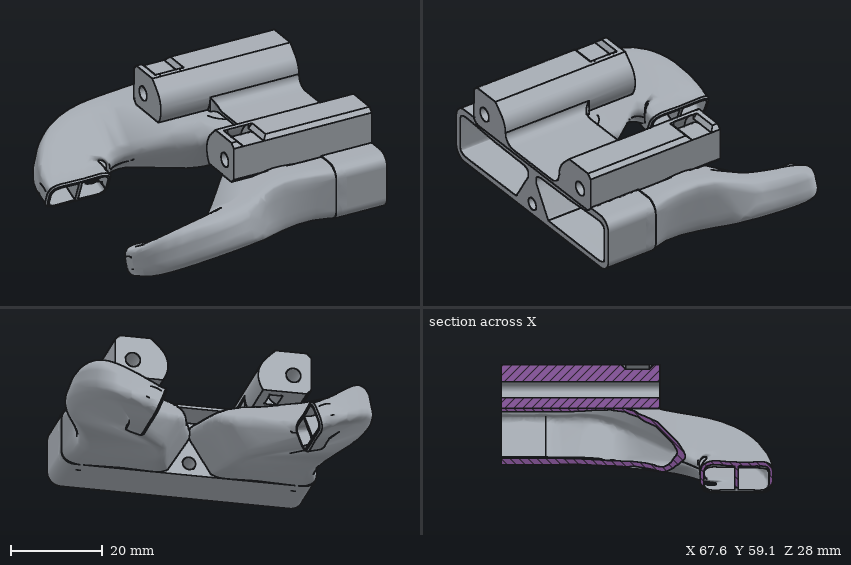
import cadquery as cq
import math


rail_length = 34.6
rail_height = 9.6
rail_outer_x = -22.0
rail_chamfer = 1.0
rail_flat_end_x = -13.9
rail_round_radius = 5.8
rail_round_x = -15.9
rail_round_z = 3.4
rod_hole_diameter = 3.3
rod_hole_x = -18.0
rod_hole_z = 4.1

tie_width = 5.1
tie_front_y = -32.2
tie_depth = 1.0
tie_end_x = -15.1
tie_inner_radius = rail_height - tie_depth - rod_hole_z
tie_outer_radius = math.hypot(tie_end_x - rod_hole_x, rail_height - rod_hole_z)

web_length = 20.8
web_thickness = 0.75
web_fillet = 2.8
web_flat_half_width = 7.3
web_corner_radius = 1.5

inlet_width = 57.4
inlet_depth = 12.7
inlet_top_z = 1.25
inlet_bottom_z = -12.3
inlet_corner_radius = 3.0
root_overlap = 3.0
root_inset = 0.1
screw_hole_diameter = 2.9
screw_hole_z = -9.5

mouth_top = (-15.9, -12.0)
mouth_bottom = (-18.4, -18.45)
mouth_inner_y = -43.3
mouth_outer_y = -59.14
mouth_corner_radius = 2.3
lip_chamfer = 0.4
inlet_wall = 1.5
mouth_wall = 0.8
divider_thickness = 0.8
divider_depth = 4.0
nozzle_length = 4.0

round_step = 1.0
side_steps = (7.0, 2.0)
side_hold = 0.2


def mirrored_pair(left):
    return left, left.mirror("YZ")


def rail_outline():
    diagonal = rail_round_radius * math.sqrt(0.5)
    foot_x = rail_round_x + math.sqrt(rail_round_radius**2 - rail_round_z**2)
    return (
        cq.Workplane("XZ")
        .moveTo(rail_outer_x + rail_chamfer, 0)
        .lineTo(rail_outer_x, rail_chamfer)
        .lineTo(rail_outer_x, rail_height - rail_chamfer)
        .lineTo(rail_outer_x + rail_chamfer, rail_height)
        .lineTo(rail_flat_end_x, rail_height)
        .lineTo(rail_round_x + diagonal, rail_round_z + diagonal)
        .threePointArc((rail_round_x + rail_round_radius, rail_round_z), (foot_x, 0))
        .close()
    )


def tie_slot():
    """Bevelled pocket in the rail top, continued by a channel curving round the rod hole."""
    floor_z = rail_height - tie_depth
    back_y = tie_front_y + tie_width
    pocket = (
        cq.Workplane("YZ", origin=(rail_outer_x, 0, 0))
        .polyline([
            (tie_front_y, floor_z),
            (back_y, floor_z),
            (back_y + tie_depth, rail_height),
            (tie_front_y - tie_depth, rail_height),
        ])
        .close()
        .extrude(tie_end_x - rail_outer_x)
    )
    ring = (
        cq.Workplane("XZ", origin=(rod_hole_x, back_y, rod_hole_z))
        .circle(tie_outer_radius)
        .circle(tie_inner_radius)
        .extrude(tie_width)
    )
    inner_half = cq.Workplane("XY").box(
        tie_outer_radius, rail_length, rail_height, centered=False
    ).translate((rod_hole_x, -rail_length, 0))
    return pocket.union(ring.intersect(inner_half))


def left_rail():
    rod_hole = (
        cq.Workplane("XZ", origin=(rod_hole_x, 0, rod_hole_z))
        .circle(rod_hole_diameter / 2)
        .extrude(rail_length)
    )
    return rail_outline().extrude(rail_length).cut(rod_hole).cut(tie_slot())


def web():
    """Thin plate with a concave fillet up to each rail and flared front corners."""
    fillet_z = web_thickness + web_fillet
    touch_x = -rail_round_x - rail_round_radius
    arc_middle = (
        web_flat_half_width + web_fillet * math.sqrt(0.5),
        fillet_z - web_fillet * math.sqrt(0.5),
    )
    full_length = web_length + web_corner_radius
    section = (
        cq.Workplane("XZ")
        .moveTo(0, 0)
        .lineTo(-rail_round_x, 0)
        .lineTo(-rail_round_x, fillet_z)
        .lineTo(web_flat_half_width + web_fillet, fillet_z)
        .threePointArc(arc_middle, (web_flat_half_width, web_thickness))
        .lineTo(0, web_thickness)
        .close()
        .extrude(full_length)
    )
    corner_x = touch_x - web_corner_radius
    plan = (
        cq.Workplane("XY")
        .lineTo(0, -web_length)
        .lineTo(corner_x, -web_length)
        .radiusArc((touch_x, -full_length), web_corner_radius)
        .lineTo(-rail_round_x, -full_length)
        .lineTo(-rail_round_x, 0)
        .close()
        .extrude(rail_height)
    )
    half = section.intersect(plan)
    return half.union(half.mirror("YZ"))


def build_mount():
    mount = web()
    for rail in mirrored_pair(left_rail()):
        mount = mount.union(rail)
    return mount


def arm_station(origin, across, up, corners, radius):
    """Plane, corners and corner radius of one cross-section of the left arm.

    Corners run inner top, outer top, outer bottom, inner bottom, each as
    (distance outward, height) in the plane.
    """
    normal = cq.Vector(*across).cross(cq.Vector(*up))
    plane = cq.Plane(origin=origin, xDir=across, normal=normal.toTuple())
    return plane, corners, radius


def crosswise(y, corners, radius):
    """Station across the Y direction, with corners as (x, z)."""
    outward = [(-x, z) for x, z in corners]
    return arm_station((0, y, 0), (-1, 0, 0), (0, 0, 1), outward, radius)


def arm_stations(end_setback):
    """Stations from the inlet block to the given distance short of the mouth."""
    side_x = -inlet_width / 2 + root_inset
    top_z = inlet_top_z - root_inset
    bottom_z = inlet_bottom_z + root_inset
    root_corners = [(2.4, 0.2), (side_x, top_z), (side_x, bottom_z), (-5.2, bottom_z)]
    root = crosswise(root_overlap - inlet_depth, root_corners, inlet_corner_radius)
    inlet = crosswise(-inlet_depth, root_corners, inlet_corner_radius)
    neck = crosswise(-21.5, [(-1.0, -0.3), (-27.2, 1.5), (-27.4, -12.4), (-8.0, -12.4)], 3.0)
    shoulder = crosswise(-31.0, [(-8.0, -4.4), (-29.6, 2.0), (-32.0, -11.0), (-13.0, -13.6)], 3.2)
    bend = crosswise(-40.5, [(-17.6, -9.5), (-31.0, 1.2), (-34.6, -9.6), (-20.0, -16.0)], 3.4)
    elbow = arm_station(
        (-18.0, -42.6, 0), (-0.72, -0.69, 0), (0, 0, 1),
        [(0, -10.5), (15.0, -2.8), (16.9, -13.3), (1.5, -17.0)], 3.0,
    )
    return [root, inlet, neck, shoulder, bend, elbow, mouth_station(nozzle_length), mouth_station(end_setback)]


def mouth_station(setback):
    """Mouth section, moved back into the arm square to the mouth."""
    slant = (mouth_top[0] - mouth_bottom[0], mouth_top[1] - mouth_bottom[1])
    height = math.hypot(*slant)
    width = mouth_inner_y - mouth_outer_y
    origin = (
        mouth_bottom[0] - setback * slant[1] / height,
        mouth_inner_y,
        mouth_bottom[1] + setback * slant[0] / height,
    )
    corners = [(0, height), (width, height), (width, 0), (0, 0)]
    return arm_station(origin, (0, -1, 0), (slant[0], 0, slant[1]), corners, mouth_corner_radius)


def unit(start, end):
    length = math.dist(start, end)
    return (end[0] - start[0]) / length, (end[1] - start[1]) / length


def part_way(start, end, fraction):
    return [a + fraction * (b - a) for a, b in zip(start, end)]


def rounded_corner(before, corner, after, radius, inset):
    """Start, middle and end of the round on one corner, shifted inward by the wall thickness."""
    arrive = unit(before, corner)
    leave = unit(corner, after)
    turn = math.acos(arrive[0] * leave[0] + arrive[1] * leave[1])
    inward = (leave[0] - arrive[0], leave[1] - arrive[1])
    tip = [c + inset * d / math.sin(turn) for c, d in zip(corner, inward)]
    round_radius = radius - inset
    setback = round_radius * math.tan(turn / 2)
    cap = round_radius * (1 / math.cos(turn / 2) - 1) / math.hypot(*inward)
    return [
        (tip[0] - setback * arrive[0], tip[1] - setback * arrive[1]),
        (tip[0] + cap * inward[0], tip[1] + cap * inward[1]),
        (tip[0] + setback * leave[0], tip[1] + setback * leave[1]),
    ]


def section_wire(station, inset):
    """Smooth closed section; every section shares the same spacing so that lofts stay simple."""
    plane, corners, radius = station
    count = len(corners)
    rounds = [
        rounded_corner(corners[i - 1], corners[i], corners[(i + 1) % count], radius, inset)
        for i in range(count)
    ]
    points = []
    parameters = [0]
    for i in range(count):
        side_start = rounds[i][-1]
        side_end = rounds[(i + 1) % count][0]
        points += rounds[i]
        points.append(part_way(side_start, side_end, side_hold))
        points.append(part_way(side_start, side_end, 1 - side_hold))
        side = side_steps[i % 2]
        for step in (round_step, round_step, side_hold * side, (1 - 2 * side_hold) * side, side_hold * side):
            parameters.append(parameters[-1] + step)
    placed = [plane.toWorldCoords(point) for point in points]
    return cq.Wire.assembleEdges([cq.Edge.makeSpline(placed, periodic=True, parameters=parameters)])


def arm_loft(stations, walls):
    wires = [section_wire(station, wall) for station, wall in zip(stations, walls)]
    return cq.Workplane(cq.Solid.makeLoft(wires))


def left_arm():
    """Solid arm ending in a bevelled lip round the mouth."""
    stations = arm_stations(lip_chamfer)
    lip = arm_loft([stations[-1], mouth_station(0)], [0, lip_chamfer])
    return arm_loft(stations, [0] * len(stations)).union(lip)


def left_passage(stations):
    """Air passage from the back of the inlet block to the mouth, walls thinning on the way."""
    last = len(stations) - 1
    walls = [inlet_wall + (mouth_wall - inlet_wall) * i / last for i in range(last + 1)]
    inlet_wire = section_wire(stations[0], inlet_wall)
    inlet = cq.Solid.extrudeLinear(inlet_wire, [], cq.Vector(0, inlet_depth - root_overlap, 0))
    return arm_loft(stations, walls).union(cq.Workplane(inlet))


def inlet_block():
    return (
        cq.Workplane("XZ", origin=(0, 0, (inlet_top_z + inlet_bottom_z) / 2))
        .rect(inlet_width, inlet_top_z - inlet_bottom_z)
        .extrude(inlet_depth)
        .edges("|Y")
        .fillet(inlet_corner_radius)
    )


def left_divider(stations):
    """Thin rib splitting the mouth in two, its edges buried in the walls."""
    slab = cq.Workplane("XY").box(
        divider_depth + mouth_top[0] - mouth_bottom[0], divider_thickness, inlet_width
    ).translate((mouth_bottom[0], (mouth_inner_y + mouth_outer_y) / 2, 0))
    return arm_loft(stations, [mouth_wall / 2] * len(stations)).intersect(slab)


def build_duct(mount):
    stations = arm_stations(0)
    left_side = cq.Workplane("XY").box(
        inlet_width, -mouth_outer_y, inlet_width, centered=(False, False, True)
    ).translate((-inlet_width, mouth_outer_y, 0))
    half = inlet_block().union(left_arm()).intersect(left_side)
    half = half.cut(left_passage(stations)).union(left_divider(stations))
    duct = half.union(half.mirror("YZ"))
    screw_hole = (
        cq.Workplane("XZ", origin=(0, 0, screw_hole_z))
        .circle(screw_hole_diameter / 2)
        .extrude(rail_length)
    )
    seat = cq.Workplane("XY").box(
        -2 * rod_hole_x, rail_length, rail_height, centered=(True, False, False)
    ).translate((0, -rail_length, 0))
    return duct.cut(screw_hole).cut(seat).cut(mount)


mount = build_mount()
duct = build_duct(mount)
result = cq.Compound.makeCompound([mount.val(), duct.val()])